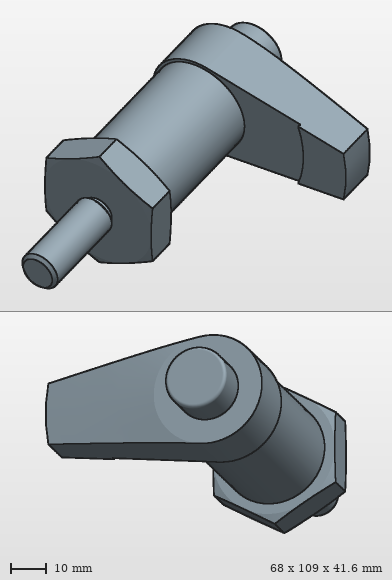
import cadquery as cq
import math


stud_diameter = 12.0
stud_length = 30.0
stud_tip_chamfer = 1.08
neck_diameter = 9.4
neck_length = 1.25
neck_cone_length = 0.75

hex_across_flats = 36.0
hex_sides = 6
hex_height = 10.0
hex_crown_angle = 15.0

barrel_diameter = 30.0
barrel_length = 41.0

hub_diameter = 32.0
lever_thickness = 17.0
lever_reach = 50.0
tip_half_width = 9.0
tip_drop = 6.0
slope_start_radius = hub_diameter / 2
pad_inner_radius = 35.6
pad_height = 1.0

button_diameter = 18.0
button_length = 11.0
button_edge_radius = 1.0

lever_bottom = hex_height + barrel_length
lever_top = lever_bottom + lever_thickness


def cylinder(diameter, start, length):
    """Cylinder on the Y axis from Y = start to Y = start + length."""
    disc = cq.Workplane("XZ", origin=(0, start, 0)).circle(diameter / 2)
    return disc.extrude(-length)


def revolved(profile):
    """Solid of revolution about Y from a list of (radius, y) points."""
    return cq.Workplane("XY").polyline(profile).close().revolve(360, (0, 0), (0, 1))


def make_stud():
    stud_radius = stud_diameter / 2
    neck_radius = neck_diameter / 2
    tip_radius = stud_radius - stud_tip_chamfer
    return revolved([
        (0, 0),
        (neck_radius, 0),
        (neck_radius, -neck_length),
        (stud_radius, -neck_length - neck_cone_length),
        (stud_radius, -stud_length + stud_tip_chamfer),
        (tip_radius, -stud_length),
        (0, -stud_length),
    ])


def make_hexagon():
    half_side_angle = 180 / hex_sides
    flat_radius = hex_across_flats / 2
    corner_radius = flat_radius / math.cos(math.radians(half_side_angle))
    crown_drop = (corner_radius - flat_radius) * math.tan(math.radians(hex_crown_angle))
    prism = (
        cq.Workplane("XZ")
        .polygon(hex_sides, 2 * corner_radius)
        .extrude(-hex_height)
        .rotate((0, 0, 0), (0, 1, 0), half_side_angle)
    )
    crown = revolved([
        (0, 0),
        (flat_radius, 0),
        (corner_radius, crown_drop),
        (corner_radius, hex_height - crown_drop),
        (flat_radius, hex_height),
        (0, hex_height),
    ])
    return prism.intersect(crown)


def make_lever_outline():
    """Plan outline of hub and arm, tall enough to include the pad below the arm."""
    hub_radius = hub_diameter / 2
    tip_angle = math.asin(tip_half_width / lever_reach)
    taper_angle = math.asin(hub_radius / lever_reach) - tip_angle
    tangent_x = hub_radius * math.sin(taper_angle)
    tangent_z = hub_radius * math.cos(taper_angle)
    tip_x = lever_reach * math.cos(tip_angle)
    return (
        cq.Workplane("XZ", origin=(0, lever_bottom - pad_height, 0))
        .moveTo(tangent_x, tangent_z)
        .lineTo(tip_x, tip_half_width)
        .threePointArc((lever_reach, 0), (tip_x, -tip_half_width))
        .lineTo(tangent_x, -tangent_z)
        .threePointArc((-hub_radius, 0), (tangent_x, tangent_z))
        .close()
        .extrude(-(lever_thickness + pad_height))
    )


def make_lever():
    """Lever with a conical upper face and a raised pad under the tip."""
    overrun = 1.0
    outer_radius = lever_reach + overrun
    slope = tip_drop / (lever_reach - slope_start_radius)
    outer_y = lever_top - slope * (outer_radius - slope_start_radius)
    envelope = revolved([
        (0, lever_bottom),
        (pad_inner_radius, lever_bottom),
        (pad_inner_radius, lever_bottom - pad_height),
        (outer_radius, lever_bottom - pad_height),
        (outer_radius, outer_y),
        (slope_start_radius, lever_top),
        (0, lever_top),
    ])
    return make_lever_outline().intersect(envelope)


def make_button():
    button = cylinder(button_diameter, lever_top, button_length)
    return button.faces(">Y").edges().fillet(button_edge_radius)


result = (
    make_hexagon()
    .union(make_stud())
    .union(cylinder(barrel_diameter, hex_height, barrel_length))
    .union(make_lever())
    .union(make_button())
)